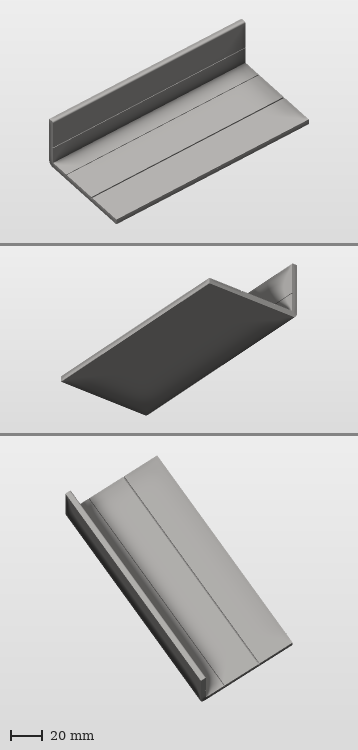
import cadquery as cq

length = 152.4
base_width = 69.8
total_height = 39.0

angle_thickness = 3.0
facing_thickness = 1.0
heel_radius = 3.0
cap_radius = facing_thickness
angle_height = total_height - facing_thickness
stack_thickness = angle_thickness + facing_thickness

corner_reach_x = 17.7
corner_reach_z = 16.8
corner_gap = 0.5
floor_joint = 43.7
floor_gap = 0.9


def extrude_profile(profile):
    """Extrude a closed XZ profile along the full length, centred on Y."""
    return profile.extrude(length / 2, both=True)


def make_angle():
    """L-shaped backing with a rounded outer heel."""
    profile = (
        cq.Workplane("XZ")
        .moveTo(heel_radius, 0)
        .lineTo(base_width, 0)
        .lineTo(base_width, angle_thickness)
        .lineTo(angle_thickness, angle_thickness)
        .lineTo(angle_thickness, angle_height)
        .lineTo(0, angle_height)
        .lineTo(0, heel_radius)
        .radiusArc((heel_radius, 0), -heel_radius)
        .close()
    )
    return extrude_profile(profile)


def make_corner_facing():
    """L-shaped facing in the inner corner of the angle."""
    profile = (
        cq.Workplane("XZ")
        .moveTo(angle_thickness, angle_thickness)
        .lineTo(corner_reach_x, angle_thickness)
        .lineTo(corner_reach_x, stack_thickness)
        .lineTo(stack_thickness, stack_thickness)
        .lineTo(stack_thickness, corner_reach_z)
        .lineTo(angle_thickness, corner_reach_z)
        .close()
    )
    return extrude_profile(profile)


def make_wall_facing():
    """Upper wall facing that folds over the top edge of the angle."""
    wall_start = corner_reach_z + corner_gap
    profile = (
        cq.Workplane("XZ")
        .moveTo(angle_thickness, wall_start)
        .lineTo(stack_thickness, wall_start)
        .lineTo(stack_thickness, total_height - cap_radius)
        .radiusArc((stack_thickness - cap_radius, total_height), -cap_radius)
        .lineTo(0, total_height)
        .lineTo(0, angle_height)
        .lineTo(angle_thickness, angle_height)
        .close()
    )
    return extrude_profile(profile)


def make_floor_strip(x_start, x_end):
    """Flat facing strip on the floor of the angle between two X positions."""
    profile = (
        cq.Workplane("XZ")
        .moveTo(x_start, angle_thickness)
        .lineTo(x_end, angle_thickness)
        .lineTo(x_end, stack_thickness)
        .lineTo(x_start, stack_thickness)
        .close()
    )
    return extrude_profile(profile)


angle = make_angle()
corner_facing = make_corner_facing()
wall_facing = make_wall_facing()

floor_spans = [
    (corner_reach_x + corner_gap, floor_joint),
    (floor_joint + floor_gap, base_width),
]
floor_strips = [make_floor_strip(x_start, x_end) for x_start, x_end in floor_spans]

result = cq.Compound.makeCompound(
    [
        angle.val(),
        corner_facing.val(),
        wall_facing.val(),
        *[strip.val() for strip in floor_strips],
    ]
)